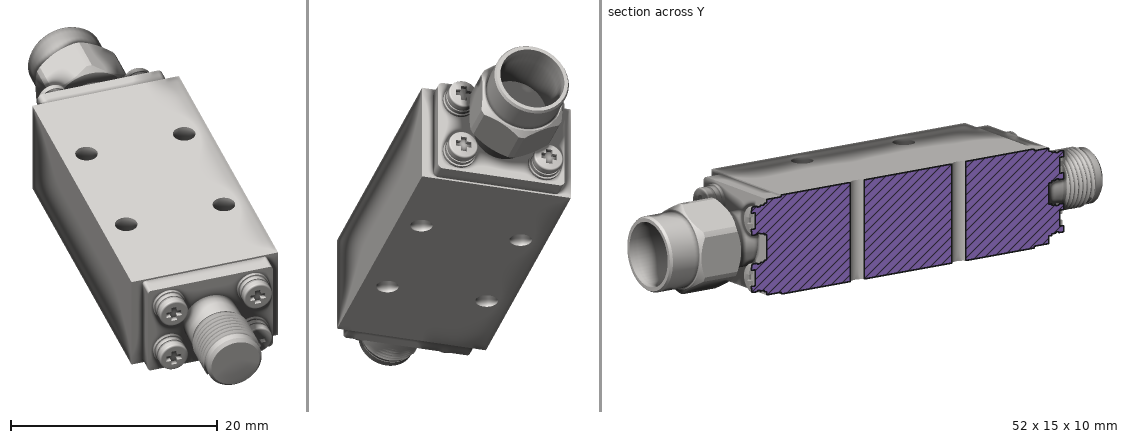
import cadquery as cq
import math

total_length = 52.0
body_length = 30.0
body_width = 15.0
body_height = 10.0
body_start = 12.7
body_end = body_start + body_length

mount_hole_diameter = 2.2
mount_hole_spacing_x = 12.0
mount_hole_spacing_y = 10.0

flange_thickness = 1.7
flange_width = 12.75
flange_height = 9.6
left_flange_fillet = 0.5
right_flange_fillet = 0.3
left_flange_face = body_start - flange_thickness
right_flange_face = body_end + flange_thickness

neck_diameter = 5.55

barrel_diameter = 7.5
barrel_rim_radial = 0.15
barrel_rim_axial = 0.25
bore_diameter = 6.45
bore_depth = 6.25
nut_start = 3.35
nut_length = 4.9
nut_across_flats = 8.05
nut_corner_diameter = 9.0
nut_end_diameter = 7.85
nut_chamfer_length = 0.5

thread_start = 47.15
thread_length = 3.85
thread_pitch = 0.495
thread_outer_diameter = 5.95
thread_core_diameter = 5.4
thread_root_width = 0.45
thread_root_overlap = 0.05
jack_end_chamfer = 0.3

screw_spacing_y = 8.6
left_screw_heights = (-2.85, 2.85)
right_screw_heights = (-2.45, 2.85)
washer_diameter = 3.2
washer_thickness = 0.3
screw_head_diameter = 2.9
screw_gap_diameter = 2.7
screw_gap_start = 0.8
screw_gap_end = 1.1
screw_head_height = 1.75
screw_edge_round = 0.18
left_screw_dome = 0.13
right_screw_dome = 0.0
cross_length = 1.55
cross_width = 0.6
cross_depth = 0.5


def cylinder_x(diameter, start, length):
    """Solid cylinder along +X, starting at x = start."""
    return cq.Workplane("YZ", origin=(start, 0, 0)).circle(diameter / 2).extrude(length)


def make_body():
    body = cq.Workplane("XY").box(body_length, body_width, body_height)
    holes = (
        cq.Workplane("XY", origin=(0, 0, -body_height / 2))
        .rarray(mount_hole_spacing_x, mount_hole_spacing_y, 2, 2)
        .circle(mount_hole_diameter / 2)
        .extrude(body_height)
    )
    return body.cut(holes).translate((body_start + body_length / 2, 0, 0))


def make_flange(start, corner_radius):
    flange = cq.Workplane("YZ", origin=(start, 0, 0)).rect(flange_width, flange_height)
    return flange.extrude(flange_thickness).edges("|X").fillet(corner_radius)


def make_nut():
    """Hexagon with two flats facing Y, corners turned round and both ends coned."""
    hex_corner_diameter = nut_across_flats / math.cos(math.pi / 6)
    hexagon = (
        cq.Workplane("YZ", origin=(nut_start, 0, 0))
        .transformed(rotate=(0, 0, 90))
        .polygon(6, hex_corner_diameter)
        .extrude(nut_length)
    )
    nut_end = nut_start + nut_length
    envelope = (
        cq.Workplane("XY")
        .moveTo(nut_start, 0)
        .lineTo(nut_start, nut_end_diameter / 2)
        .lineTo(nut_start + nut_chamfer_length, nut_corner_diameter / 2)
        .lineTo(nut_end - nut_chamfer_length, nut_corner_diameter / 2)
        .lineTo(nut_end, nut_end_diameter / 2)
        .lineTo(nut_end, 0)
        .close()
        .revolve(360, (0, 0, 0), (1, 0, 0))
    )
    return hexagon.intersect(envelope)


def make_plug():
    barrel = (
        cylinder_x(barrel_diameter, 0, nut_start)
        .faces("<X")
        .chamfer(barrel_rim_axial, barrel_rim_radial)
    )
    neck_start = nut_start + nut_length
    neck = cylinder_x(neck_diameter, neck_start, left_flange_face - neck_start)
    bore = cylinder_x(bore_diameter, 0, bore_depth)
    return barrel.union(make_nut()).union(neck).cut(bore)


def make_thread():
    """Helical V-shaped ridge, its root sunk slightly into the cylinder that carries it."""
    root_radius = thread_core_diameter / 2 - thread_root_overlap
    crest_radius = thread_outer_diameter / 2
    helix_length = thread_length - thread_root_width
    helix = cq.Wire.makeHelix(thread_pitch, helix_length, root_radius)
    ridge = (
        cq.Workplane("XZ")
        .moveTo(root_radius, -thread_root_width / 2)
        .lineTo(crest_radius, 0)
        .lineTo(root_radius, thread_root_width / 2)
        .close()
        .sweep(cq.Workplane(helix), isFrenet=True)
    )
    ridge_start = thread_start + thread_root_width / 2
    return ridge.rotate((0, 0, 0), (0, 1, 0), 90).translate((ridge_start, 0, 0))


def make_jack():
    shank = (
        cylinder_x(neck_diameter, right_flange_face, total_length - right_flange_face)
        .faces(">X")
        .chamfer(jack_end_chamfer)
    )
    relief = cylinder_x(neck_diameter, thread_start, thread_length)
    core = cylinder_x(thread_core_diameter, thread_start, thread_length)
    return shank.cut(relief.cut(core)).union(make_thread())


def make_screw(dome_height):
    """Screw standing on the Z = 0 plane with its head pointing to +Z."""
    washer_radius = washer_diameter / 2
    head_radius = screw_head_diameter / 2
    gap_radius = screw_gap_diameter / 2
    rim_radius = head_radius - screw_edge_round
    edge_start = screw_head_height - screw_edge_round
    round_mid = screw_edge_round * math.sqrt(0.5)
    top = screw_head_height + dome_height
    profile = (
        cq.Workplane("XZ")
        .lineTo(washer_radius, 0)
        .lineTo(washer_radius, washer_thickness)
        .lineTo(head_radius, washer_thickness)
        .lineTo(head_radius, screw_gap_start)
        .lineTo(gap_radius, screw_gap_start)
        .lineTo(gap_radius, screw_gap_end)
        .lineTo(head_radius, screw_gap_end)
        .lineTo(head_radius, edge_start)
        .threePointArc((rim_radius + round_mid, edge_start + round_mid), (rim_radius, screw_head_height))
    )
    if dome_height > 0:
        cap_radius = (rim_radius**2 + dome_height**2) / (2 * dome_height)
        half_rim = rim_radius / 2
        half_height = top - cap_radius + math.sqrt(cap_radius**2 - half_rim**2)
        profile = profile.threePointArc((half_rim, half_height), (0, top))
    else:
        profile = profile.lineTo(0, top)
    screw = profile.close().revolve(360, (0, 0, 0), (0, 1, 0))
    cross = (
        cq.Workplane("XY", origin=(0, 0, top - cross_depth))
        .rect(cross_length, cross_width)
        .extrude(cross_depth)
        .union(
            cq.Workplane("XY", origin=(0, 0, top - cross_depth))
            .rect(cross_width, cross_length)
            .extrude(cross_depth)
        )
    )
    return screw.cut(cross)


left_screw = make_screw(left_screw_dome).rotate((0, 0, 0), (0, 1, 0), -90)
right_screw = make_screw(right_screw_dome).rotate((0, 0, 0), (0, 1, 0), 90)

result = (
    make_body()
    .union(make_flange(left_flange_face, left_flange_fillet))
    .union(make_flange(body_end, right_flange_fillet))
    .union(make_plug())
    .union(make_jack())
)
for screw_y in (-screw_spacing_y / 2, screw_spacing_y / 2):
    for screw_z in left_screw_heights:
        result = result.union(left_screw.translate((left_flange_face, screw_y, screw_z)))
    for screw_z in right_screw_heights:
        result = result.union(right_screw.translate((right_flange_face, screw_y, screw_z)))